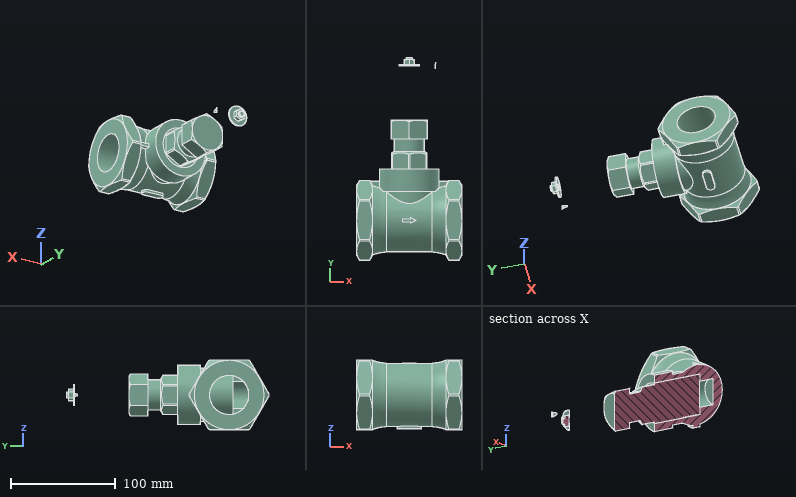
import cadquery as cq
import math


run_length = 101.0
end_hex_flats = 67.0
end_hex_width = 15.5
end_hex_corner_diameter = 76.4
end_face_diameter = 66.5
barrel_diameter = 60.5
barrel_half_length = 22.0
flare_end_x = 23.0
flare_mid_x = 29.0
flare_end_radius = 30.6
flare_mid_radius = 31.5
flare_root_radius = 33.2
rib_reach = 37.6
rib_thickness = 3.1

branch_diameter = 51.2
collar_diameter = 57.0
collar_bottom_y = 27.5
collar_top_y = 49.2

port_diameter = 37.5
outlet_port_end_x = 17.5
seat_bore_diameter = 25.5
seat_y = -3.5
plug_diameter = 40.0

arrow_half_length = 6.4
arrow_head_base_x = 1.0
arrow_shaft_half_width = 1.4
arrow_head_half_width = 2.7
arrow_relief = 0.4
pad_length = 23.0
pad_width = 8.5
pad_bottom_z = -32.5

insert_hex_flats = 33.5
insert_hex_corner_diameter = 37.8
insert_hex_top_y = 66.0
neck_diameter = 29.0
head_flats = 34.9
head_bottom_y = 77.7
head_top_y = 96.0
head_face_diameter = 35.0

washer_diameter = 20.0
washer_bottom_y = 147.7
washer_top_y = 149.0
stud_diameter = 6.0
stud_recess = 0.5
stud_chamfer = 0.5
stud_top_y = 155.7
nut_flats = 9.9
nut_top_y = 153.7
tab_x = 24.8
tab_thickness = 0.3
tab_tip_y = 145.2
tab_bend_y = 149.7
tab_end_y = 150.8
tab_bend_offset = 0.5
tab_tip_half_width = 0.8
tab_root_half_width = 2.5

hex_chamfer_slope = math.tan(math.radians(30))


def cylinder_y(diameter, bottom_y, top_y):
    """Cylinder about the Y axis between two heights."""
    base = cq.Vector(0, bottom_y, 0)
    solid = cq.Solid.makeCylinder(diameter / 2, top_y - bottom_y, base, cq.Vector(0, 1, 0))
    return cq.Workplane(solid)


def cylinder_x(diameter, start_x, end_x):
    """Cylinder about the X axis between two stations."""
    plane = cq.Workplane("YZ", origin=(start_x, 0, 0))
    return plane.circle(diameter / 2).extrude(end_x - start_x)


def hexagon_corners(flats):
    """Corners of a hexagon whose first corner lies on the second axis."""
    radius = flats / math.sqrt(3)
    angles = [math.radians(90 + 60 * i) for i in range(6)]
    return [(radius * math.cos(a), radius * math.sin(a)) for a in angles]


def hexagon_y(flats, bottom_y, top_y):
    """Hexagonal prism along Y with two of its flats facing +X and -X."""
    plane = cq.Workplane("XZ", origin=(0, bottom_y, 0))
    return plane.polyline(hexagon_corners(flats)).close().extrude(bottom_y - top_y)


def chamfer_envelope_y(corner_diameter, face_diameter, bottom_y, top_y):
    """Round envelope that turns the corners of a hexagon and chamfers its top."""
    corner = corner_diameter / 2
    face = face_diameter / 2
    shoulder_y = top_y - (corner - face) * hex_chamfer_slope
    outline = [(0, bottom_y), (corner, bottom_y), (corner, shoulder_y), (face, top_y), (0, top_y)]
    return cq.Workplane("XY").polyline(outline).close().revolve(360, (0, 0), (0, 1))


def end_hexagon():
    """Hexagonal end of the run on the -X side, chamfered on both faces."""
    outer_x = -run_length / 2
    inner_x = outer_x + end_hex_width
    corner = end_hex_corner_diameter / 2
    face = end_face_diameter / 2
    chamfer = (corner - face) * hex_chamfer_slope
    corners = [(v, u) for u, v in hexagon_corners(end_hex_flats)]
    prism = cq.Workplane("YZ", origin=(outer_x, 0, 0)).polyline(corners).close().extrude(end_hex_width)
    outline = [
        (outer_x, 0),
        (outer_x, face),
        (outer_x + chamfer, corner),
        (inner_x - chamfer, corner),
        (inner_x, face),
        (inner_x, 0),
    ]
    envelope = cq.Workplane("XY").polyline(outline).close().revolve(360, (0, 0), (1, 0))
    return prism.intersect(envelope)


def barrel():
    """Round middle of the run, flared towards both hexagonal ends."""
    root_x = run_length / 2 - end_hex_width
    radius = barrel_diameter / 2
    return (
        cq.Workplane("XY")
        .moveTo(-root_x, 0)
        .lineTo(-root_x, flare_root_radius)
        .threePointArc((-flare_mid_x, flare_mid_radius), (-flare_end_x, flare_end_radius))
        .lineTo(-barrel_half_length, radius)
        .lineTo(barrel_half_length, radius)
        .lineTo(flare_end_x, flare_end_radius)
        .threePointArc((flare_mid_x, flare_mid_radius), (root_x, flare_root_radius))
        .lineTo(root_x, 0)
        .close()
        .revolve(360, (0, 0), (1, 0))
    )


def flow_arrow():
    """Raised flow arrow on the top of the barrel, pointing to +X."""
    outline = [
        (-arrow_half_length, -arrow_shaft_half_width),
        (arrow_head_base_x, -arrow_shaft_half_width),
        (arrow_head_base_x, -arrow_head_half_width),
        (arrow_half_length, 0),
        (arrow_head_base_x, arrow_head_half_width),
        (arrow_head_base_x, arrow_shaft_half_width),
        (-arrow_half_length, arrow_shaft_half_width),
    ]
    prism = cq.Workplane("XY").polyline(outline).close().extrude(barrel_diameter)
    relief_diameter = barrel_diameter + 2 * arrow_relief
    return prism.intersect(cylinder_x(relief_diameter, -arrow_half_length, arrow_half_length))


def bottom_pad():
    """Round-ended pad standing on the underside of the barrel."""
    port_clearance_z = -(port_diameter + barrel_diameter) / 4
    pad = cq.Workplane("XY", origin=(0, 0, pad_bottom_z)).slot2D(pad_length, pad_width)
    return pad.extrude(port_clearance_z - pad_bottom_z)


def side_rib():
    """Thin flat rib that joins the two hexagonal ends on the branch side."""
    rib_length = run_length - end_hex_width
    return cq.Workplane("XY").box(rib_length, rib_reach, rib_thickness).translate((0, rib_reach / 2, 0))


def make_housing():
    left_end = end_hexagon()
    body = barrel().union(left_end).union(left_end.mirror("YZ"))
    body = body.union(side_rib())
    body = body.union(cylinder_y(branch_diameter, 0, collar_bottom_y))
    body = body.union(cylinder_y(collar_diameter, collar_bottom_y, collar_top_y))
    body = body.union(flow_arrow()).union(bottom_pad())
    body = body.cut(cylinder_x(port_diameter, -run_length / 2, 0))
    body = body.cut(cylinder_x(port_diameter, outlet_port_end_x, run_length / 2))
    body = body.cut(cylinder_y(seat_bore_diameter, -port_diameter / 2, seat_y))
    return body.cut(cylinder_y(plug_diameter, seat_y, collar_top_y))


def make_insert():
    """Plug on the seat, hexagon on the collar, neck and hexagonal head."""
    plug = cylinder_y(plug_diameter, seat_y, collar_top_y)
    hexagon = hexagon_y(insert_hex_flats, collar_top_y, insert_hex_top_y).intersect(
        chamfer_envelope_y(insert_hex_corner_diameter, neck_diameter, collar_top_y, insert_hex_top_y)
    )
    neck = cylinder_y(neck_diameter, insert_hex_top_y, head_bottom_y)
    head_corner_diameter = head_flats * 2 / math.sqrt(3)
    head = hexagon_y(head_flats, head_bottom_y, head_top_y).intersect(
        chamfer_envelope_y(head_corner_diameter, head_face_diameter, head_bottom_y, head_top_y)
    )
    return plug.union(hexagon).union(neck).union(head)


def make_washer():
    disc = cylinder_y(washer_diameter, washer_bottom_y, washer_top_y)
    return disc.cut(cylinder_y(stud_diameter, washer_bottom_y, washer_top_y))


def make_stud_nut():
    """Hexagonal nut with its stud, which reaches into the washer."""
    nut = hexagon_y(nut_flats, washer_top_y, nut_top_y)
    stud = cylinder_y(stud_diameter, washer_bottom_y + stud_recess, stud_top_y)
    return nut.union(stud.faces(">Y").chamfer(stud_chamfer))


def make_tab():
    """Thin tab that narrows towards -Y and has a small joggle at its wide end."""
    strip = (
        cq.Workplane("XY")
        .moveTo(tab_x, tab_tip_y)
        .lineTo(tab_x + tab_thickness, tab_tip_y)
        .lineTo(tab_x + tab_thickness, tab_bend_y)
        .lineTo(tab_x + tab_thickness + tab_bend_offset, tab_end_y)
        .lineTo(tab_x + tab_bend_offset, tab_end_y)
        .lineTo(tab_x, tab_bend_y)
        .close()
        .extrude(tab_root_half_width, both=True)
    )
    taper = [
        (tab_tip_y, -tab_tip_half_width),
        (tab_end_y, -tab_root_half_width),
        (tab_end_y, tab_root_half_width),
        (tab_tip_y, tab_tip_half_width),
    ]
    return strip.intersect(cq.Workplane("YZ").polyline(taper).close().extrude(run_length))


housing = make_housing()
insert = make_insert()
washer = make_washer()
stud_nut = make_stud_nut()
tab = make_tab()

result = cq.Compound.makeCompound(
    [housing.val(), insert.val(), washer.val(), stud_nut.val(), tab.val()]
)